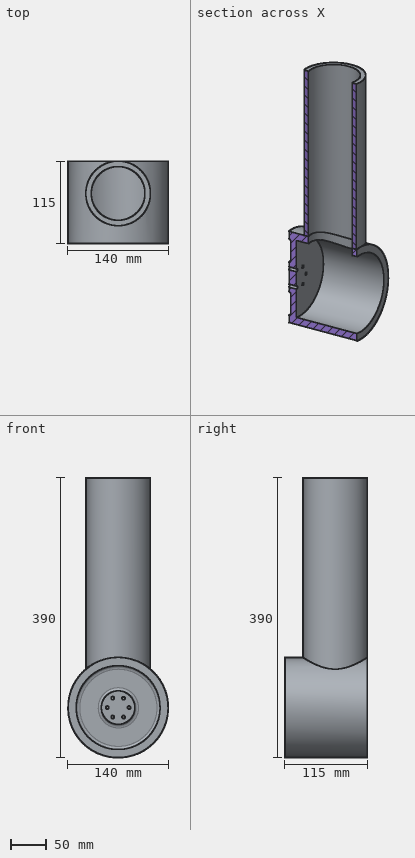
import cadquery as cq

total_height = 390.0
drum_radius = 140.0 / 2
drum_depth = 115.0
bore_radius = 58.5
web_thickness = 10.0

recess_depth = 3.0
recess_fillet = 5.0
floor_outer_radius = 54.0
floor_inner_radius = 28.0
hole_count = 6
hole_radius = 2.0
hole_circle_radius = 15.2

pipe_outer_radius = 90.0 / 2
pipe_inner_radius = 37.5
pipe_y = drum_depth - pipe_outer_radius
pipe_top = total_height - drum_radius

bore_start = recess_depth + web_thickness


def cylinder_along_y(radius, start, length):
    return cq.Workplane(cq.Solid.makeCylinder(radius, length, cq.Vector(0, start, 0), cq.Vector(0, 1, 0)))


def upright_cylinder(radius):
    return cq.Workplane("XY").center(0, pipe_y).circle(radius).extrude(pipe_top)


def make_recess():
    """Ring cutter with rounded lower edges, shallower in the face than its fillet radius."""
    start = -recess_fillet
    length = recess_depth - start
    outer = cylinder_along_y(floor_outer_radius + recess_fillet, start, length)
    inner = cylinder_along_y(floor_inner_radius - recess_fillet, start, length)
    return outer.cut(inner).faces(">Y").edges().fillet(recess_fillet)


def make_boss_holes():
    return (
        cq.Workplane("XZ")
        .polarArray(hole_circle_radius, 0, 360, hole_count)
        .circle(hole_radius)
        .extrude(-bore_start)
    )


def make_drum():
    body = cylinder_along_y(drum_radius, 0, drum_depth)
    body = body.cut(cylinder_along_y(bore_radius, bore_start, drum_depth - bore_start))
    body = body.cut(make_recess())
    body = body.cut(make_boss_holes())
    return body.cut(upright_cylinder(pipe_inner_radius))


def make_pipe():
    body = upright_cylinder(pipe_outer_radius).cut(upright_cylinder(pipe_inner_radius))
    return body.cut(cylinder_along_y(drum_radius, 0, drum_depth))


drum = make_drum()
pipe = make_pipe()
result = cq.Compound.makeCompound([drum.val(), pipe.val()])